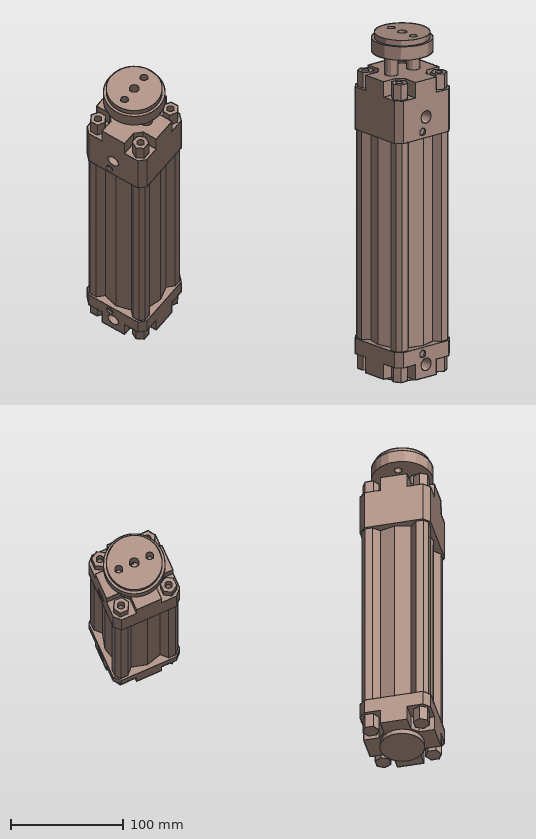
import cadquery as cq
import math

total_height = 322.0
spigot_dia = 40.0
spigot_height = 4.8
rear_head_top = 33.8
front_head_bottom = 230.5
front_head_top = 285.0

head_width = 65.0
head_chamfer = 5.8

pocket_depth = 14.5
pocket_offset = 12.2
pocket_chamfer = 6.0

nut_flats = 13.0
nut_offset = 23.2
nut_hole_dia = 6.5
nut_hole_depth = 13.0
drill_tip_angle = 118.0

barrel_width = 61.2
barrel_chamfer = 4.0
groove_half_width = 20.0
groove_depth = 5.8
side_ridge_height = 28.5

port_dia = 11.5
port_depth = 13.0
front_port_z = 250.0
rear_port_z = 17.0
recess_dia = 6.8
recess_depth = 2.0
recess_x = -4.0
front_recess_z = 236.7
rear_recess_z = 27.7

rod_dia = 12.0
rod_offset = 13.0
plate_bottom = 304.3
plate_dia = 55.0
plate_rim_dia = 50.0
plate_rim_height = 5.0
plate_centre_hole_dia = 8.5
plate_side_hole_dia = 6.8
plate_side_hole_offset = 15.0

corner_count = 4
corner_angle = 360.0 / corner_count


def turn(shape, index):
    """Return the shape turned about Z by a whole number of quarter turns."""
    return shape.rotate((0, 0, 0), (0, 0, 1), index * corner_angle)


def make_head_block(bottom, top):
    """Square block with chamfered vertical edges."""
    block = cq.Workplane("XY").workplane(offset=bottom).rect(head_width, head_width).extrude(top - bottom)
    return block.edges("|Z").chamfer(head_chamfer)


def make_corner_pocket(bottom):
    """Cutter for the pocket in the -X -Y corner; its inner corner is chamfered."""
    inner = -pocket_offset
    outer = -head_width
    outline = [
        (outer, outer),
        (inner, outer),
        (inner, inner - pocket_chamfer),
        (inner - pocket_chamfer, inner),
        (outer, inner),
    ]
    return cq.Workplane("XY").workplane(offset=bottom).polyline(outline).close().extrude(pocket_depth)


def make_nut(bottom):
    """Hexagonal nut in the -X -Y corner, with two flats parallel to X."""
    across_corners = nut_flats / math.cos(math.radians(30))
    nut = cq.Workplane("XY").workplane(offset=bottom).center(-nut_offset, -nut_offset)
    return nut.polygon(6, across_corners).extrude(pocket_depth)


def make_nut_hole():
    """Cutter for the blind hole in a front nut, ending in a drill tip."""
    radius = nut_hole_dia / 2
    tip_height = radius / math.tan(math.radians(drill_tip_angle / 2))
    outline = [(0, 0), (radius, 0), (radius, -nut_hole_depth), (0, -nut_hole_depth - tip_height)]
    hole = cq.Workplane("XZ").polyline(outline).close().revolve(360, (0, 0), (0, 1))
    return hole.translate((-nut_offset, -nut_offset, front_head_top))


def make_head(bottom, top, pocket_bottom):
    """Head with a pocket and a nut in every corner."""
    head = make_head_block(bottom, top)
    pocket = make_corner_pocket(pocket_bottom)
    nut = make_nut(pocket_bottom)
    for index in range(corner_count):
        head = head.cut(turn(pocket, index)).union(turn(nut, index))
    return head


def make_barrel():
    """Barrel with chamfered corner posts and a ridged recess along each side."""
    half = barrel_width / 2
    groove_bottom = half - groove_depth
    groove_inner = groove_half_width - groove_depth
    height = front_head_bottom - rear_head_top
    barrel = cq.Workplane("XY").workplane(offset=rear_head_top).rect(barrel_width, barrel_width)
    barrel = barrel.extrude(height).edges("|Z").chamfer(barrel_chamfer)
    outline = [
        (-groove_half_width, -half),
        (-groove_inner, -groove_bottom),
        (0, -side_ridge_height),
        (groove_inner, -groove_bottom),
        (groove_half_width, -half),
    ]
    groove = cq.Workplane("XY").workplane(offset=rear_head_top).polyline(outline).close().extrude(height)
    for index in range(corner_count):
        barrel = barrel.cut(turn(groove, index))
    return barrel


def make_face_hole(x, z, diameter, depth):
    """Cutter for a blind hole bored along Y into the -Y face of a head."""
    hole = cq.Workplane("XZ", origin=(x, -head_width / 2, z)).circle(diameter / 2)
    return hole.extrude(-depth)


def make_housing():
    """Cylinder housing: two heads, barrel, nuts and rear spigot in one solid."""
    rear_head = make_head(spigot_height, rear_head_top, spigot_height)
    front_head = make_head(front_head_bottom, front_head_top, front_head_top - pocket_depth)
    spigot = cq.Workplane("XY").circle(spigot_dia / 2).extrude(spigot_height)
    housing = make_barrel().union(rear_head).union(front_head).union(spigot)

    nut_hole = make_nut_hole()
    for index in range(corner_count):
        housing = housing.cut(turn(nut_hole, index))
    for z in (front_port_z, rear_port_z):
        housing = housing.cut(make_face_hole(0, z, port_dia, port_depth))
    for z in (front_recess_z, rear_recess_z):
        housing = housing.cut(make_face_hole(recess_x, z, recess_dia, recess_depth))
    return housing


def make_rod_assembly():
    """End plate with its two rods, which stand on the front head."""
    shoulder = total_height - plate_rim_height
    plate = cq.Workplane("XY").workplane(offset=plate_bottom).circle(plate_dia / 2)
    plate = plate.extrude(shoulder - plate_bottom)
    rim = cq.Workplane("XY").workplane(offset=shoulder).circle(plate_rim_dia / 2).extrude(plate_rim_height)
    rods = cq.Workplane("XY").workplane(offset=front_head_top)
    rods = rods.pushPoints([(-rod_offset, 0), (rod_offset, 0)]).circle(rod_dia / 2)
    rods = rods.extrude(plate_bottom - front_head_top)
    plate = plate.union(rim)

    holes = cq.Workplane("XY").workplane(offset=plate_bottom)
    plate_thickness = total_height - plate_bottom
    centre_hole = holes.circle(plate_centre_hole_dia / 2).extrude(plate_thickness)
    side_places = [(0, -plate_side_hole_offset), (0, plate_side_hole_offset)]
    side_holes = holes.pushPoints(side_places).circle(plate_side_hole_dia / 2).extrude(plate_thickness)
    return plate.cut(centre_hole).cut(side_holes).union(rods)


housing = make_housing()
rod_assembly = make_rod_assembly()

result = cq.Compound.makeCompound([housing.val(), rod_assembly.val()])